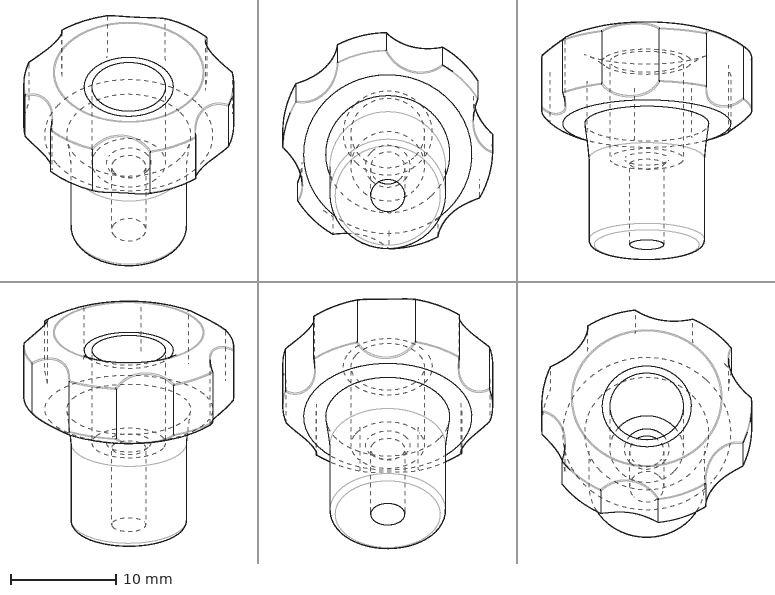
import cadquery as cq
import math

total_height = 20.0
head_bottom = 12.0
flare_start = 8.5

stem_radius = 11.0 / 2
flare_radius = 5.9
flare_hollow = 0.03
stem_end_fillet = 0.5

head_radius = 10.0
rim_bottom = 13.3
rim_top = 18.55
underside_flat_radius = 8.0
crown_bulge = 0.18
edge_fillet = 0.15

clearance = 0.02

scallop_count = 6
scallop_radius = 4.2
scallop_floor_radius = 8.58

dish_rim_radius = 7.12
dish_lip_fillet = 0.18
dish_floor_radius = 4.25
dish_depth = 1.85
dish_bulge = 0.15
bore_radius = 7.0 / 2
bore_floor = flare_start
hole_radius = 3.25 / 2
hole_chamfer = 0.5


def arc_middle(start, end, bulge):
    """Middle of an arc from start to end that bows out by bulge to the right of travel."""
    run = end[0] - start[0]
    rise = end[1] - start[1]
    chord = math.hypot(run, rise)
    middle_x = (start[0] + end[0]) / 2 + bulge * rise / chord
    middle_z = (start[1] + end[1]) / 2 - bulge * run / chord
    return middle_x, middle_z


def axis_distance(point):
    """Distance of a point from the Z axis."""
    return math.hypot(point.x, point.y)


def make_head():
    """Round head with crowned faces, scalloped rim and softened outer edges."""
    underside_edge = (underside_flat_radius, head_bottom)
    lower_rim = (head_radius, rim_bottom)
    upper_rim = (head_radius, rim_top)
    dish_edge = (dish_rim_radius, total_height)
    profile = (
        cq.Workplane("XZ")
        .moveTo(0, head_bottom)
        .lineTo(*underside_edge)
        .threePointArc(arc_middle(underside_edge, lower_rim, crown_bulge), lower_rim)
        .lineTo(*upper_rim)
        .threePointArc(arc_middle(upper_rim, dish_edge, crown_bulge), dish_edge)
        .lineTo(0, total_height)
        .close()
    )
    head = profile.revolve(360, (0, 0, 0), (0, 1, 0))
    scallops = (
        cq.Workplane("XY")
        .polarArray(scallop_floor_radius + scallop_radius, 0, 360, scallop_count)
        .circle(scallop_radius)
        .extrude(total_height)
    )
    head = head.cut(scallops)
    outline_edges = [
        edge
        for edge in head.edges("not |Z").vals()
        if axis_distance(edge.startPoint()) > underside_flat_radius + clearance
    ]
    return head.newObject(outline_edges).fillet(edge_fillet)


def make_stem():
    """Cylindrical stem that flares gently into the underside of the head."""
    flare_bottom = (stem_radius, flare_start)
    flare_top = (flare_radius, head_bottom)
    return (
        cq.Workplane("XZ")
        .lineTo(stem_radius - stem_end_fillet, 0)
        .radiusArc((stem_radius, stem_end_fillet), -stem_end_fillet)
        .lineTo(*flare_bottom)
        .threePointArc(arc_middle(flare_bottom, flare_top, -flare_hollow), flare_top)
        .lineTo(0, head_bottom)
        .close()
        .revolve(360, (0, 0, 0), (0, 1, 0))
    )


def make_axial_cavity():
    """Dish, bore and chamfered through hole as one revolved cutter."""
    dish_floor = total_height - dish_depth
    dish_start = (dish_floor_radius, dish_floor)
    dish_end = (dish_rim_radius, total_height)
    return (
        cq.Workplane("XZ")
        .lineTo(hole_radius, 0)
        .lineTo(hole_radius, bore_floor - hole_chamfer)
        .lineTo(hole_radius + hole_chamfer, bore_floor)
        .lineTo(bore_radius, bore_floor)
        .lineTo(bore_radius, dish_floor)
        .lineTo(*dish_start)
        .threePointArc(arc_middle(dish_start, dish_end, -dish_bulge), dish_end)
        .lineTo(0, total_height)
        .close()
        .revolve(360, (0, 0, 0), (0, 1, 0))
    )


body = make_head().union(make_stem()).cut(make_axial_cavity())

result = body.edges(">Z").fillet(dish_lip_fillet)